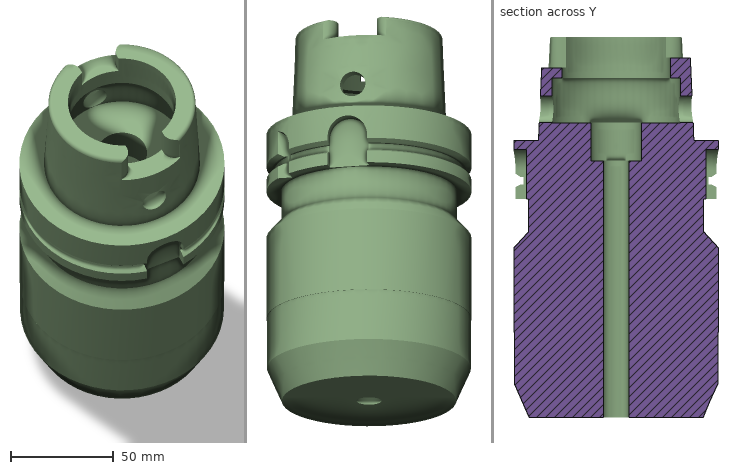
import cadquery as cq
import math

height = 185.5
body_radius = 100.0 / 2
through = 4 * body_radius

nose_cone_top = 16.5
nose_ring_top = 41.7
shoulder_bottom = 83.0
shoulder_top = 90.7
flange_bottom = 106.5
groove_lower_edge = 112.5
groove_bottom = 113.7
groove_top = 117.2
groove_upper_edge = 118.9
flange_top = 135.5

nose_radius = 42.5
nose_ring_radius = 49.7
neck_radius = 42.9
groove_radius = 46.2
groove_lip_radius = 47.5
taper_base_radius = 38.0
taper_top_radius = 35.8
taper_edge_round = 1.9

bore_radius = 26.3
bore_lip_depth = 19.8
undercut_radius = 31.2
bore_floor = 144.0
counterbore_radius = 12.2
counterbore_depth = 18.5
coolant_radius = 6.1

notch_half_width = 9.8
notch_corner_radius = 6.0
left_notch_depth = 10.0
right_notch_depth = 14.8

cross_hole_radius = 6.3
cross_hole_height = 150.5

keyway_radius = 9.8
keyway_top = 130.5
keyway_floor = 44.0
side_keyway_offset = 41.2
side_keyway_floor = 31.9


def make_body():
    """Revolve the outer profile of nose, neck, grooved flange and taper."""
    body = (
        cq.Workplane("XZ")
        .polyline([
            (0, 0),
            (nose_radius, 0),
            (nose_ring_radius, nose_cone_top),
            (nose_ring_radius, nose_ring_top),
            (body_radius, nose_ring_top),
            (body_radius, shoulder_bottom),
            (neck_radius, shoulder_top),
            (neck_radius, flange_bottom),
            (body_radius, flange_bottom),
            (body_radius, groove_lower_edge),
            (groove_lip_radius, groove_bottom),
            (groove_radius, groove_bottom),
            (groove_radius, groove_top),
            (groove_lip_radius, groove_top),
            (body_radius, groove_upper_edge),
            (body_radius, flange_top),
            (taper_base_radius, flange_top),
            (taper_top_radius, height),
            (0, height),
        ])
        .close()
        .revolve(360, (0, 0, 0), (0, 1, 0))
    )
    return body.faces(">Z").edges().fillet(taper_edge_round)


def make_bore():
    """Revolve the bore: lip, undercut, counterbore and coolant hole."""
    lip_bottom = height - bore_lip_depth
    counterbore_floor = bore_floor - counterbore_depth
    return (
        cq.Workplane("XZ")
        .polyline([
            (0, 0),
            (coolant_radius, 0),
            (coolant_radius, counterbore_floor),
            (counterbore_radius, counterbore_floor),
            (counterbore_radius, bore_floor),
            (undercut_radius, bore_floor),
            (undercut_radius, lip_bottom),
            (bore_radius, lip_bottom),
            (bore_radius, height),
            (0, height),
        ])
        .close()
        .revolve(360, (0, 0, 0), (0, 1, 0))
    )


def make_notch(side, depth):
    """Notch on the side (-1 or +1) along X, flaring outward round the corners of the wall."""
    corner_start = bore_radius
    corner_end = corner_start + notch_corner_radius
    flare_half_width = notch_half_width + notch_corner_radius
    arc_offset = notch_corner_radius * math.sqrt(0.5)
    arc_x = corner_start + arc_offset
    arc_y = flare_half_width - arc_offset
    return (
        cq.Workplane("XY", origin=(0, 0, height - depth))
        .moveTo(0, -notch_half_width)
        .lineTo(side * corner_start, -notch_half_width)
        .threePointArc((side * arc_x, -arc_y), (side * corner_end, -flare_half_width))
        .lineTo(side * body_radius, -flare_half_width)
        .lineTo(side * body_radius, flare_half_width)
        .lineTo(side * corner_end, flare_half_width)
        .threePointArc((side * arc_x, arc_y), (side * corner_start, notch_half_width))
        .lineTo(0, notch_half_width)
        .close()
        .extrude(depth)
    )


def make_keyway(side, offset, floor):
    """Round-topped keyway across the flange, outward along X from its flat floor."""
    return (
        cq.Workplane("YZ", origin=(side * floor, 0, 0))
        .moveTo(offset - keyway_radius, flange_bottom)
        .lineTo(offset - keyway_radius, keyway_top - keyway_radius)
        .threePointArc(
            (offset, keyway_top),
            (offset + keyway_radius, keyway_top - keyway_radius),
        )
        .lineTo(offset + keyway_radius, flange_bottom)
        .close()
        .extrude(side * body_radius)
    )


def make_cross_hole():
    """Radial hole along X through both walls of the hollow taper."""
    return (
        cq.Workplane("YZ")
        .center(0, cross_hole_height)
        .circle(cross_hole_radius)
        .extrude(through / 2, both=True)
    )


result = make_body().cut(make_bore()).cut(make_cross_hole())
for side, depth in [(-1, left_notch_depth), (1, right_notch_depth)]:
    result = result.cut(make_notch(side, depth))
    result = result.cut(make_keyway(side, 0, keyway_floor))
result = result.cut(make_keyway(-1, side_keyway_offset, side_keyway_floor))